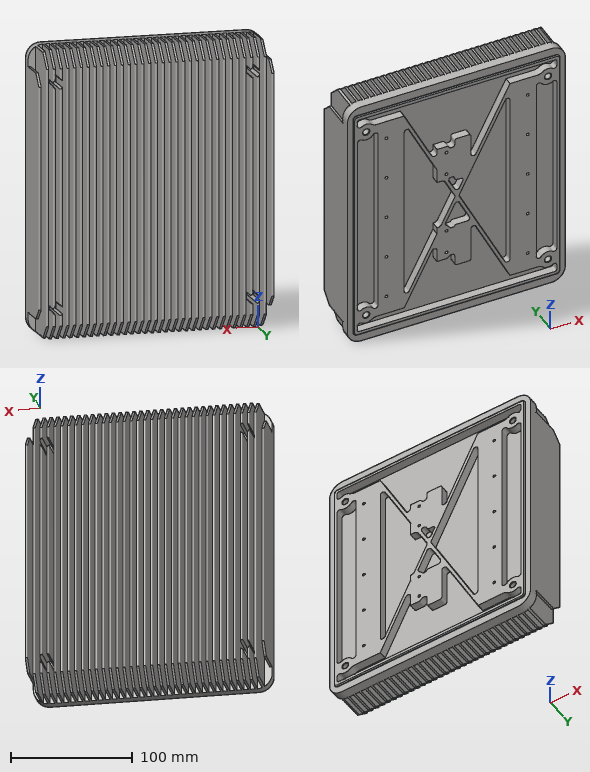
import cadquery as cq
import math


width = 200.0
height = 244.0
depth = 45.0
base_depth = 10.0
plate_corner_radius = 13.0

lip_height = 1.5
lip_side_margin = 5.1
lip_end_margin = 7.8
lip_corner_radius = 3.7
lip_chamfer = 0.85

fin_thickness = 2.0
fin_tip_radius = 0.85
inner_fin_count = 33
inner_fin_span = 185.2
inner_fin_corner_cut = 13.7
outer_fin_setback = 18.3
outer_fin_corner_cut = 10.0
fin_pitch = inner_fin_span / (inner_fin_count - 1)

screw_x = 83.5
screw_z = 95.5
screw_diameter = 5.5
screw_chamfer = 0.5
screw_head_diameter = 9.0

pin_diameter = 2.5
pin_depth = 5.9
pin_tip_depth = 0.7
pin_column_x = 65.0
pin_row_pitch = 41.2
pin_row_count = 5
pad_pin_x = -9.8
pad_pin_heights = (48.3, 25.9, -33.5, -55.9)

pocket_depth = 7.3
pocket_radius = 2.5
pocket_outer_x = 91.5
side_pocket_inner_x = 72.7
end_pocket_outer_z = 110.3
end_pocket_inner_z = 100.0
end_pocket_corner_radius = 2.0
center_pocket_x = 48.5
screw_boss_radius = 8.0
boss_blend_radius = 7.3

strut_half_width = 1.75
strut_slope = end_pocket_inner_z / (center_pocket_x + strut_half_width)

pad_left_x = -18.5
pad_step_x = -2.2
pad_right_x = 12.7
pad_round = 2.0
pad_small_round = 1.2
upper_pad_inner_z = 20.3
upper_pad_blend = 6.0
lower_pad_inner_z = -27.0
lower_pad_blend = 4.0

upper_pad_edge = [
    (pad_left_x, 54.7, 0),
    (-8.8, 54.7, pad_small_round),
    (-6.3, 52.0, pad_small_round),
    (pad_step_x, 52.0, pocket_radius),
    (pad_step_x, 59.8, pad_round),
    (pad_right_x, 59.8, pad_round),
]
lower_pad_edge = [
    (pad_left_x, -62.2, 0),
    (-9.5, -62.2, pad_small_round),
    (-6.0, -59.8, pad_small_round),
    (pad_step_x, -59.8, pocket_radius),
    (pad_step_x, -71.7, pad_round),
    (pad_right_x, -71.7, pad_round),
]

upper_window_right_z = 16.8
upper_window_left_z = 21.2
lower_window_right_z = -29.5
lower_window_dip_z = -31.5
lower_window_left_z = -25.9
window_round = 0.7
upper_window_step_x = (-1.2, -3.5)
lower_window_dip_x = (-1.2, -3.2, -6.0)


same_point = 2.44e-06


def is_arc(item):
    return isinstance(item[0], tuple)


def first_point(item):
    return item[1] if is_arc(item) else item[:2]


def last_point(item):
    return item[2] if is_arc(item) else item[:2]


def arc_middle(center, start, end):
    """Middle of an arc shorter than half a turn."""
    toward_x = start[0] + end[0] - 2 * center[0]
    toward_z = start[1] + end[1] - 2 * center[1]
    scale = math.dist(center, start) / math.hypot(toward_x, toward_z)
    return (center[0] + toward_x * scale, center[1] + toward_z * scale)


def direction(start, end):
    length = math.dist(start, end)
    return ((end[0] - start[0]) / length, (end[1] - start[1]) / length)


def moved(point, heading, distance):
    return (point[0] + heading[0] * distance, point[1] + heading[1] * distance)


def corner_arc(before, corner, after):
    """Arc that rounds a corner between two straight edges."""
    point = corner[:2]
    radius = corner[2]
    back = direction(point, before)
    ahead = direction(point, after)
    half_angle = math.acos(back[0] * ahead[0] + back[1] * ahead[1]) / 2
    bisector = direction((0, 0), (back[0] + ahead[0], back[1] + ahead[1]))
    setback = radius / math.tan(half_angle)
    center = moved(point, bisector, radius / math.sin(half_angle))
    return (center, moved(point, back, setback), moved(point, ahead, setback))


def rounded(outline):
    """The outline with every rounded corner replaced by its arc."""
    items = []
    for index, item in enumerate(outline):
        if not is_arc(item) and item[2] > 0:
            before = last_point(outline[index - 1])
            after = first_point(outline[(index + 1) % len(outline)])
            item = corner_arc(before, item, after)
        items.append(item)
    return items


def pocket(outline):
    """Solid that cuts a pocket with this outline into the front face."""
    items = rounded(outline)
    here = first_point(items[0])
    path = cq.Workplane("XZ").moveTo(*here)
    for item in items:
        if math.dist(here, first_point(item)) > same_point:
            path = path.lineTo(*first_point(item))
        if is_arc(item):
            path = path.threePointArc(arc_middle(*item), last_point(item))
        here = last_point(item)
    return path.close().extrude(-pocket_depth)


def mirrored(outline, x_sign, z_sign):
    """Outline reflected wherever a sign is -1, with its items in the same order."""
    def flip(point):
        return (point[0] * x_sign, point[1] * z_sign)

    items = []
    for item in outline:
        if is_arc(item):
            items.append(tuple(flip(point) for point in item))
        else:
            items.append(flip(item) + (item[2],))
    return items


def backwards(outline):
    items = []
    for item in reversed(outline):
        if is_arc(item):
            center, start, end = item
            item = (center, end, start)
        items.append(item)
    return items


def rounded_block(x_size, z_size, radius, front_y, back_y):
    block = cq.Workplane("XZ", origin=(0, front_y, 0)).rect(x_size, z_size).extrude(front_y - back_y)
    return block.edges("|Y").fillet(radius)


def make_plate():
    flange = rounded_block(width, height, plate_corner_radius, lip_height, base_depth)
    lip_width = width - 2 * lip_side_margin
    lip_length = height - 2 * lip_end_margin
    lip = rounded_block(lip_width, lip_length, lip_corner_radius, 0, base_depth)
    return flange.union(lip.faces("<Y").edges().chamfer(lip_chamfer))


def make_fin(x, half_length, corner_cut):
    """Flat fin with sloped ends and a rounded tip, rooted inside the plate."""
    profile = [
        (lip_height, -half_length),
        (depth - corner_cut, -half_length),
        (depth, corner_cut - half_length),
        (depth, half_length - corner_cut),
        (depth - corner_cut, half_length),
        (lip_height, half_length),
    ]
    fin = cq.Workplane("YZ", origin=(x, 0, 0)).polyline(profile).close()
    fin = fin.extrude(fin_thickness / 2, both=True)
    return fin.faces(">Y").edges("|Z").fillet(fin_tip_radius)


def make_fins():
    envelope = rounded_block(width, height, plate_corner_radius, 0, depth)
    fins = []
    for index in range(inner_fin_count):
        x = index * fin_pitch - inner_fin_span / 2
        fins.append(make_fin(x, height / 2, inner_fin_corner_cut).intersect(envelope))
    outer_x = (width - fin_thickness) / 2
    for x in (-outer_x, outer_x):
        fins.append(make_fin(x, height / 2 - outer_fin_setback, outer_fin_corner_cut))
    return fins


def strut_outer_x(z):
    """Distance from the Z axis to the outer edge of a strut at height z."""
    return abs(z) / strut_slope + strut_half_width


def strut_inner_x(z):
    """Distance from the Z axis to the inner edge of a strut at height z."""
    return abs(z) / strut_slope - strut_half_width


def strut_outer_z(x):
    return (abs(x) - strut_half_width) * strut_slope


def strut_inner_z(x):
    return (abs(x) + strut_half_width) * strut_slope


upper_left_screw = (-screw_x, screw_z)


def boss_touch(center, radius):
    """Point where a circle touches the upper left screw boss from outside."""
    return moved(center, direction(center, upper_left_screw), radius)


def wall_to_boss_arc(wall_x, x_side, z_side):
    """Arc from an upright pocket wall onto the upper left screw boss.

    x_side points from the wall into the pocket; z_side is 1 above the boss and -1 below it.
    """
    center_x = wall_x + x_side * pocket_radius
    reach = screw_boss_radius + pocket_radius
    rise = math.sqrt(reach ** 2 - (center_x + screw_x) ** 2)
    center = (center_x, screw_z + z_side * rise)
    return (center, (wall_x, center[1]), boss_touch(center, pocket_radius))


def end_pocket_side():
    """Left end of the top pocket, from its outer corner to the start of the strut."""
    wall_arc = wall_to_boss_arc(-pocket_outer_x, 1, 1)
    blend_z = end_pocket_inner_z + boss_blend_radius
    blend_reach = screw_boss_radius + boss_blend_radius
    blend_x = math.sqrt(blend_reach ** 2 - (blend_z - screw_z) ** 2) - screw_x
    blend_start = boss_touch((blend_x, blend_z), boss_blend_radius)
    return [
        (-pocket_outer_x, end_pocket_outer_z, end_pocket_corner_radius),
        wall_arc,
        (upper_left_screw, last_point(wall_arc), blend_start),
        ((blend_x, blend_z), blend_start, (blend_x, end_pocket_inner_z)),
        (-center_pocket_x, end_pocket_inner_z, 0),
    ]


def end_pocket(z_sign, pad_edge):
    """Top (1) or bottom (-1) pocket, reaching between the struts to a pad."""
    left_side = mirrored(end_pocket_side(), 1, z_sign)
    right_side = backwards(mirrored(left_side, -1, 1))
    left_notch = (pad_left_x, z_sign * strut_inner_z(pad_left_x), pocket_radius)
    right_notch = (pad_right_x, z_sign * strut_inner_z(pad_right_x), pocket_radius)
    return pocket(left_side + [left_notch] + pad_edge + [right_notch] + right_side)


def side_pocket(x_sign):
    """Long pocket beside a pin column, curved round the screw bosses at its ends."""
    outer_arc = wall_to_boss_arc(-pocket_outer_x, 1, -1)
    inner_arc = wall_to_boss_arc(-side_pocket_inner_x, -1, -1)
    boss_arc = (upper_left_screw, last_point(outer_arc), last_point(inner_arc))
    top = [outer_arc, boss_arc] + backwards([inner_arc])
    bottom = backwards(mirrored(top, 1, -1))
    return pocket(mirrored(top + bottom, x_sign, 1))


def right_center_pocket():
    tip_z = strut_outer_z(center_pocket_x)
    return pocket([
        (center_pocket_x, tip_z, pocket_radius),
        (strut_half_width, 0, pocket_radius),
        (center_pocket_x, -tip_z, pocket_radius),
    ])


def left_center_pocket():
    tip_z = strut_outer_z(center_pocket_x)
    pad_z = strut_outer_z(pad_left_x)
    return pocket([
        (-center_pocket_x, tip_z, pocket_radius),
        (pad_left_x, pad_z, 0),
        (pad_left_x, upper_pad_inner_z, 0),
        (-strut_outer_x(upper_pad_inner_z), upper_pad_inner_z, upper_pad_blend),
        (-strut_half_width, 0, pocket_radius),
        (-strut_outer_x(lower_pad_inner_z), lower_pad_inner_z, lower_pad_blend),
        (pad_left_x, lower_pad_inner_z, 0),
        (pad_left_x, -pad_z, 0),
        (-center_pocket_x, -tip_z, pocket_radius),
    ])


def upper_window():
    return pocket([
        (0, strut_inner_z(0), pocket_radius),
        (strut_inner_x(upper_window_right_z), upper_window_right_z, pad_round),
        (upper_window_step_x[0], upper_window_right_z, pad_round),
        (upper_window_step_x[1], upper_window_left_z, pad_round),
        (-strut_inner_x(upper_window_left_z), upper_window_left_z, pad_round),
    ])


def lower_window():
    return pocket([
        (0, -strut_inner_z(0), pocket_radius),
        (strut_inner_x(lower_window_right_z), lower_window_right_z, pocket_radius),
        (lower_window_dip_x[0], lower_window_right_z, window_round),
        (lower_window_dip_x[1], lower_window_dip_z, window_round),
        (lower_window_dip_x[2], lower_window_dip_z, window_round),
        (-strut_inner_x(lower_window_left_z), lower_window_left_z, pad_round),
    ])


def y_cylinder(x, z, diameter, front_y, back_y):
    return cq.Workplane("XZ", origin=(x, front_y, z)).circle(diameter / 2).extrude(front_y - back_y)


def y_cone(x, z, front_diameter, back_diameter, front_y, length):
    cone = cq.Solid.makeCone(
        front_diameter / 2, back_diameter / 2, length, cq.Vector(x, front_y, z), cq.Vector(0, 1, 0)
    )
    return cq.Workplane(cone)


def screw_hole(x, z):
    """Through hole with a chamfered mouth and head clearance behind the plate."""
    bore = y_cylinder(x, z, screw_diameter, 0, depth)
    mouth = y_cone(x, z, screw_diameter + 2 * screw_chamfer, screw_diameter, 0, screw_chamfer)
    head = y_cylinder(x, z, screw_head_diameter, base_depth, depth)
    return bore.union(mouth).union(head)


def pin_hole(x, z):
    """Blind hole with a conical bottom."""
    bore = y_cylinder(x, z, pin_diameter, 0, pin_depth)
    return bore.union(y_cone(x, z, pin_diameter, 0, pin_depth, pin_tip_depth))


def make_holes():
    holes = []
    for side in (-1, 1):
        holes.append(screw_hole(side * screw_x, screw_z))
        holes.append(screw_hole(side * screw_x, -screw_z))
        for row in range(pin_row_count):
            row_z = (row - (pin_row_count - 1) / 2) * pin_row_pitch
            holes.append(pin_hole(side * pin_column_x, row_z))
    for z in pad_pin_heights:
        holes.append(pin_hole(pad_pin_x, z))
    return holes


result = make_plate()
for fin in make_fins():
    result = result.union(fin)

cuts = [
    end_pocket(1, upper_pad_edge),
    end_pocket(-1, lower_pad_edge),
    side_pocket(-1),
    side_pocket(1),
    left_center_pocket(),
    right_center_pocket(),
    upper_window(),
    lower_window(),
]
for cut in cuts + make_holes():
    result = result.cut(cut)